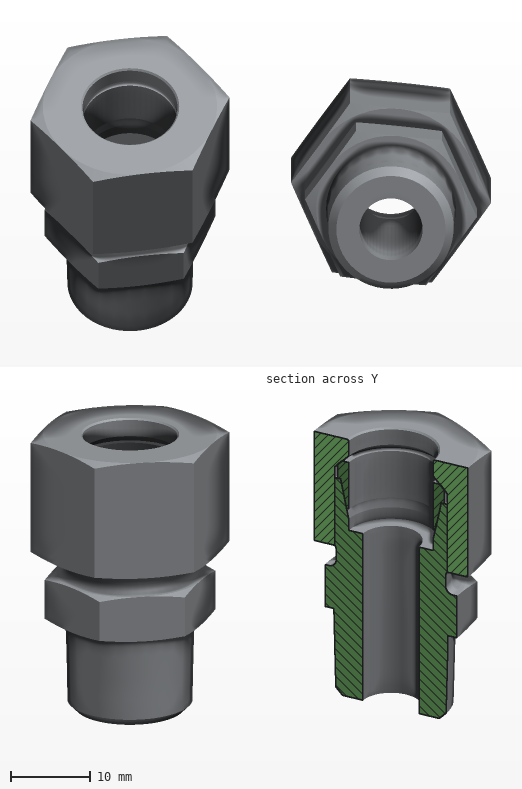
import cadquery as cq
import math


TOTAL_HEIGHT = 36.5
TUBE_RADIUS = 12.0 / 2
THREAD_RADIUS = 16.0 / 2
RING_CONE_ANGLE = 12.0
HEX_CHAMFER_SLOPE = math.tan(math.radians(15))

NUT_ACROSS_FLATS = 22.0
NUT_LENGTH = 15.5
NUT_LIP_CHAMFER = 0.22
NUT_LIP_BOTTOM = 34.13
NUT_BOTTOM = TOTAL_HEIGHT - NUT_LENGTH

BORE_RADIUS = 8.0 / 2
PIPE_THREAD_LENGTH = 12.0
PIPE_THREAD_TOP_RADIUS = 16.4 / 2
PIPE_THREAD_END_RADIUS = 15.85 / 2
PIPE_THREAD_CHAMFER = 1.02
BODY_HEX_ACROSS_FLATS = 18.9
BODY_HEX_HEIGHT = 6.0
NECK_RADIUS = 15.7 / 2
NECK_FILLET = 1.02
NECK_TOP = 20.4
BODY_TOP = 30.65
MOUTH_RADIUS = 14.3 / 2
SOCKET_DEPTH = 7.0
BODY_HEX_TOP = PIPE_THREAD_LENGTH + BODY_HEX_HEIGHT

RING_TOP = 33.25
RING_COLLAR_RADIUS = 7.65
RING_EDGE_THICKNESS = 0.3


def revolve(profile):
    """Turn a closed (radius, height) profile about the Z axis."""
    return profile.close().revolve(360, (0, 0, 0), (0, 1, 0))


def chamfered_hexagon(across_flats, bottom, height):
    """Hexagonal prism with corners on the Y axis and 15 degree chamfers at both ends."""
    flat_radius = across_flats / 2
    corner_radius = flat_radius / math.cos(math.radians(30))
    drop = (corner_radius - flat_radius) * HEX_CHAMFER_SLOPE
    top = bottom + height
    prism = (
        cq.Workplane("XY", origin=(0, 0, bottom))
        .polygon(6, 2 * corner_radius)
        .extrude(height)
        .rotate((0, 0, 0), (0, 0, 1), 30)
    )
    envelope = revolve(
        cq.Workplane("XZ")
        .moveTo(0, bottom)
        .lineTo(flat_radius, bottom)
        .lineTo(corner_radius, bottom + drop)
        .lineTo(corner_radius, top - drop)
        .lineTo(flat_radius, top)
        .lineTo(0, top)
    )
    return prism.intersect(envelope)


def cone_depth(radius):
    """Depth below the body mouth at which the ring cone narrows to the given radius."""
    return (MOUTH_RADIUS - radius) / math.tan(math.radians(RING_CONE_ANGLE))


def nut_cone_height(radius):
    """Height of the 45 degree cone inside the nut at the given radius."""
    return NUT_LIP_BOTTOM - (radius - TUBE_RADIUS)


def make_nut():
    opening = revolve(
        cq.Workplane("XZ")
        .moveTo(0, NUT_BOTTOM)
        .lineTo(THREAD_RADIUS, NUT_BOTTOM)
        .lineTo(THREAD_RADIUS, nut_cone_height(THREAD_RADIUS))
        .lineTo(TUBE_RADIUS, NUT_LIP_BOTTOM)
        .lineTo(TUBE_RADIUS, TOTAL_HEIGHT - NUT_LIP_CHAMFER)
        .lineTo(TUBE_RADIUS + NUT_LIP_CHAMFER, TOTAL_HEIGHT)
        .lineTo(0, TOTAL_HEIGHT)
    )
    return chamfered_hexagon(NUT_ACROSS_FLATS, NUT_BOTTOM, NUT_LENGTH).cut(opening)


def make_body():
    pipe_thread = revolve(
        cq.Workplane("XZ")
        .moveTo(0, 0)
        .lineTo(PIPE_THREAD_END_RADIUS - PIPE_THREAD_CHAMFER, 0)
        .lineTo(PIPE_THREAD_END_RADIUS, PIPE_THREAD_CHAMFER)
        .lineTo(PIPE_THREAD_TOP_RADIUS, PIPE_THREAD_LENGTH)
        .lineTo(0, PIPE_THREAD_LENGTH)
    )
    hexagon = chamfered_hexagon(BODY_HEX_ACROSS_FLATS, PIPE_THREAD_LENGTH, BODY_HEX_HEIGHT)

    fillet_middle = NECK_FILLET * (1 - math.sqrt(0.5))
    arc_angle = math.acos(1 - (THREAD_RADIUS - NECK_RADIUS) / NECK_FILLET)
    arc_center_radius = NECK_RADIUS + NECK_FILLET
    arc_middle = (
        arc_center_radius - NECK_FILLET * math.cos(arc_angle / 2),
        NECK_TOP + NECK_FILLET * math.sin(arc_angle / 2),
    )
    arc_end = (THREAD_RADIUS, NECK_TOP + NECK_FILLET * math.sin(arc_angle))
    neck_and_thread = revolve(
        cq.Workplane("XZ")
        .moveTo(0, BODY_HEX_TOP)
        .lineTo(arc_center_radius, BODY_HEX_TOP)
        .threePointArc(
            (NECK_RADIUS + fillet_middle, BODY_HEX_TOP + fillet_middle),
            (NECK_RADIUS, BODY_HEX_TOP + NECK_FILLET),
        )
        .lineTo(NECK_RADIUS, NECK_TOP)
        .threePointArc(arc_middle, arc_end)
        .lineTo(THREAD_RADIUS, BODY_TOP)
        .lineTo(0, BODY_TOP)
    )

    socket_floor = BODY_TOP - SOCKET_DEPTH
    passage = revolve(
        cq.Workplane("XZ")
        .moveTo(0, 0)
        .lineTo(BORE_RADIUS, 0)
        .lineTo(BORE_RADIUS, socket_floor)
        .lineTo(TUBE_RADIUS, socket_floor)
        .lineTo(TUBE_RADIUS, BODY_TOP - cone_depth(TUBE_RADIUS))
        .lineTo(MOUTH_RADIUS, BODY_TOP)
        .lineTo(0, BODY_TOP)
    )
    return pipe_thread.union(hexagon).union(neck_and_thread).cut(passage)


def make_ring():
    ring_top_radius = TUBE_RADIUS + NUT_LIP_BOTTOM - RING_TOP
    edge_radius = TUBE_RADIUS + RING_EDGE_THICKNESS
    ring_bottom = BODY_TOP - cone_depth(edge_radius)
    return revolve(
        cq.Workplane("XZ")
        .moveTo(TUBE_RADIUS, ring_bottom)
        .lineTo(edge_radius, ring_bottom)
        .lineTo(MOUTH_RADIUS, BODY_TOP)
        .lineTo(RING_COLLAR_RADIUS, BODY_TOP)
        .lineTo(RING_COLLAR_RADIUS, nut_cone_height(RING_COLLAR_RADIUS))
        .lineTo(ring_top_radius, RING_TOP)
        .lineTo(TUBE_RADIUS, RING_TOP)
    )


nut = make_nut()
body = make_body()
ring = make_ring()

result = cq.Compound.makeCompound([nut.val(), body.val(), ring.val()])